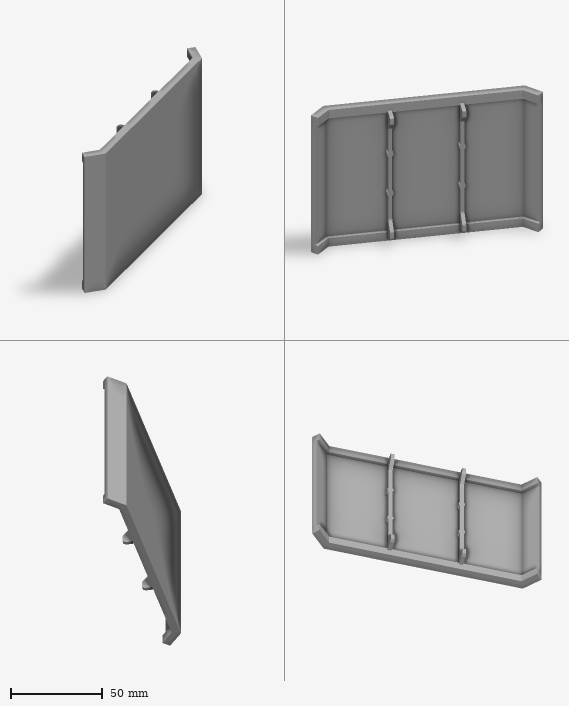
import cadquery as cq
import math

side = 91.0
height = 87.0
flange_length = 12.0
rim_thickness = 4.7
panel_thickness = 2.8
bend_angle = math.radians(45)
rim_height = 5.5

rib_spacing = 40.0
rib_thickness = 2.2
rib_low_height = 4.0
hook_rise = 5.0
hook_run = 5.0
hook_start = 34.1
rib_half_length = 39.4
end_draft = 3.0
slope_radius = 2.0
tip_bevel_depth = 1.7
tip_bevel_run = 0.8
embed = 0.9

post_radius = 1.8
post_spacing = 25.0



def bent_wall(thickness, wall_height):
    """Wall with two end flanges and a 45 degree middle, centred on Z = 0."""
    half = side / 2
    outer_bend = half - flange_length
    inner_bend = outer_bend + thickness * math.tan(bend_angle / 2)
    inner_face = half - thickness
    return (
        cq.Workplane("XY")
        .polyline([
            (-half, half),
            (-outer_bend, half),
            (half, -outer_bend),
            (half, -half),
            (inner_face, -half),
            (inner_face, -inner_bend),
            (-inner_bend, inner_face),
            (-half, inner_face),
        ])
        .close()
        .extrude(wall_height / 2, both=True)
    )


def rims():
    """Thicker wall strips along the top and bottom edges."""
    rim_centre = (height - rim_height) / 2
    rim = bent_wall(rim_thickness, rim_height)
    return rim.translate((0, 0, rim_centre)).union(rim.translate((0, 0, -rim_centre)))


def rib(along):
    """Hooked rib with two posts, centred at `along` from the middle of the panel."""
    inner_face_middle = flange_length / 2 - panel_thickness / math.sqrt(2)
    shift = along / math.sqrt(2)
    origin = (inner_face_middle + shift, inner_face_middle - shift, 0)

    rib_plane = cq.Plane(origin=origin, xDir=(0, 0, 1), normal=(1, -1, 0))
    post_plane = cq.Plane(origin=origin, xDir=(1, -1, 0), normal=(-1, -1, 0))

    hook_height = rib_low_height + hook_rise
    end_lean = (hook_height - tip_bevel_depth) * math.tan(math.radians(end_draft))
    bevel_start = rib_half_length - end_lean
    slope_foot = hook_start - hook_run
    blade = (
        cq.Workplane(rib_plane)
        .polyline([
            (-rib_half_length, -embed),
            (-rib_half_length, 0),
            (-bevel_start, hook_height - tip_bevel_depth),
            (tip_bevel_run - bevel_start, hook_height),
            (-hook_start, hook_height),
            (-slope_foot, rib_low_height),
            (slope_foot, rib_low_height),
            (hook_start, hook_height),
            (bevel_start - tip_bevel_run, hook_height),
            (bevel_start, hook_height - tip_bevel_depth),
            (rib_half_length, 0),
            (rib_half_length, -embed),
        ])
        .close()
        .extrude(rib_thickness / 2, both=True)
    )
    across_rib = cq.selectors.ParallelDirSelector(cq.Vector(1, -1, 0))
    slope_reach = (hook_start + bevel_start - tip_bevel_run) / 2
    slope_span = cq.selectors.BoxSelector(
        (-side, -side, -slope_reach), (side, side, slope_reach))
    blade = blade.edges(across_rib).edges(slope_span).fillet(slope_radius)

    posts = (
        cq.Workplane(post_plane)
        .workplane(offset=-embed)
        .pushPoints([(0, -post_spacing / 2), (0, post_spacing / 2)])
        .circle(post_radius)
        .extrude(rib_low_height + embed)
    )
    return blade.union(posts)


result = bent_wall(panel_thickness, height).union(rims())
for along in (-rib_spacing / 2, rib_spacing / 2):
    result = result.union(rib(along))